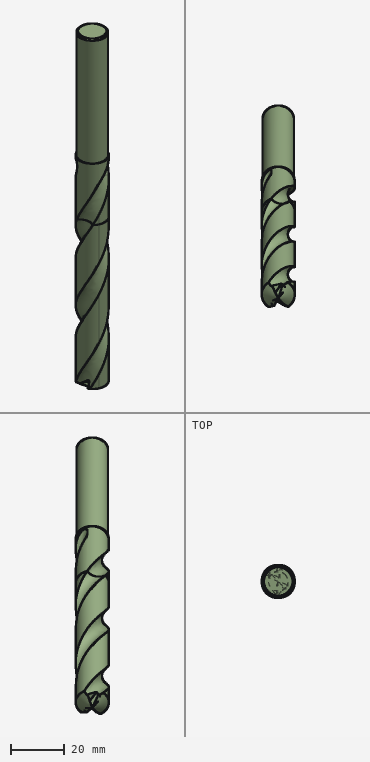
import cadquery as cq

total_length = 158.0
drill_diameter = 12.5
shank_diameter = 12.0
shank_length = 55.0
shank_chamfer = 0.6
tip_height = 3.2
cutting_length = 75.8

flute_count = 2
flute_pitch = 70.6
flute_end = 94.0
flute_end_angle = 35.0
flute_center_radius = 8.7
flute_radius = 5.0
flute_overrun = 1.6
runout_slope = 1.1
runout_height = 12.6

gash_corners = [(-0.6, 2.7), (2.4, 5.4), (3.6, 2.7), (0, 0)]
gash_wall_lean = 0.5

drill_radius = drill_diameter / 2
shank_radius = shank_diameter / 2
shank_start = total_length - shank_length
flute_spacing = 360 / flute_count


def turn(solid, angle):
    """Rotate a solid about the drill axis."""
    return solid.rotate(cq.Vector(0, 0, 0), cq.Vector(0, 0, 1), angle)


def make_flute(end_angle):
    """Helical groove followed by a straight runout square to the flute direction."""
    helix_height = flute_end + flute_overrun
    twist = 360 * helix_height / flute_pitch
    section = (
        cq.Workplane("XY")
        .workplane(offset=-flute_overrun)
        .center(flute_center_radius, 0)
        .circle(flute_radius)
        .wires()
        .val()
    )
    groove = cq.Solid.extrudeLinearWithRotation(
        section, [], cq.Vector(0, 0, -flute_overrun), cq.Vector(0, 0, helix_height), twist
    )
    end_circle = cq.Wire.makeCircle(
        flute_radius, cq.Vector(flute_center_radius, 0, flute_end), cq.Vector(0, 0, 1)
    )
    sideways = runout_height / runout_slope
    runout = cq.Solid.extrudeLinear(end_circle, [], cq.Vector(0, sideways, runout_height))
    return [turn(groove, end_angle - twist), turn(runout, end_angle)]


def make_gash(angle):
    """Cut through the flute side of the tip, closed by a flat wall that leans outward going up."""
    corners = [cq.Vector(x, -gash_wall_lean * z, z) for x, z in gash_corners]
    wall = cq.Wire.makePolygon(corners, close=True)
    gash = cq.Solid.extrudeLinear(wall, [], cq.Vector(0, -drill_radius, 0))
    return turn(gash, angle)


def cut_flutes(body):
    for i in range(flute_count):
        for cutter in make_flute(flute_end_angle + i * flute_spacing):
            body = body.cut(cq.Workplane(cutter))
    return body


def make_cutting_part():
    """Fluted lower part with the conical tip."""
    body = (
        cq.Workplane("XZ")
        .polyline([(0, 0), (drill_radius, tip_height), (drill_radius, cutting_length), (0, cutting_length)])
        .close()
        .revolve(360, (0, 0, 0), (0, 1, 0))
    )
    body = cut_flutes(body)
    for i in range(flute_count):
        body = body.cut(cq.Workplane(make_gash(i * flute_spacing)))
    return body


def make_holder_part():
    """Upper part with the flute runouts and the chamfered plain shank."""
    neck = cq.Workplane("XY", origin=(0, 0, cutting_length)).circle(drill_radius).extrude(
        shank_start - cutting_length
    )
    shank = (
        cq.Workplane("XY", origin=(0, 0, shank_start))
        .circle(shank_radius)
        .extrude(shank_length)
        .faces(">Z")
        .chamfer(shank_chamfer)
    )
    return cut_flutes(neck.union(shank))


cutting_part = make_cutting_part()
holder_part = make_holder_part()
result = cq.Compound.makeCompound([cutting_part.val(), holder_part.val()])